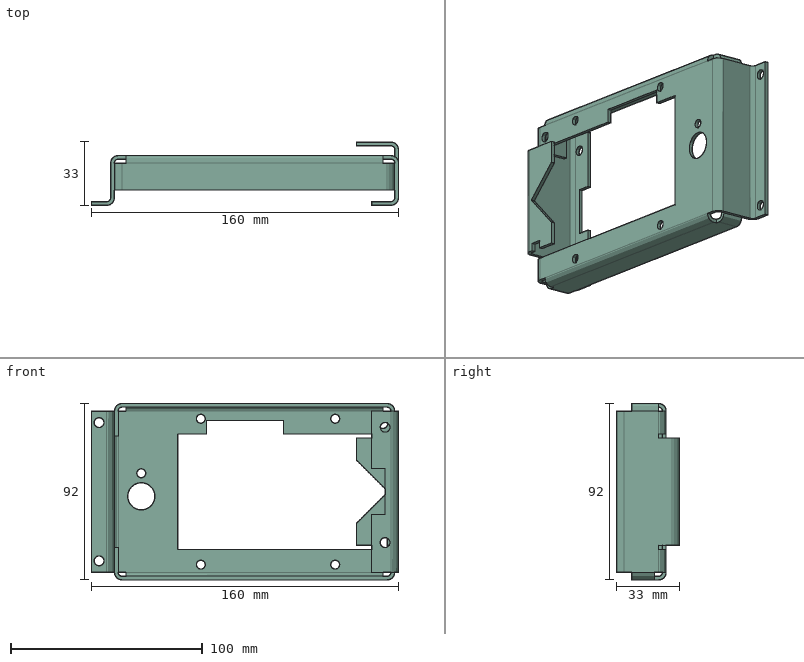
import cadquery as cq
import math

SHEET = 2.0
BEND_IN = 2.0
BEND = BEND_IN + SHEET

LENGTH = 160.0
DEPTH = 33.0
WALL_HALF = 42.0
FRAME_HALF = WALL_HALF + BEND

LEFT_WALL = 10.0
PLATE_BACK = 26.0
PLATE_FRONT = PLATE_BACK - SHEET
BEND_Y = PLATE_BACK - BEND
FRAME_LEFT = LEFT_WALL + SHEET
FRAME_RIGHT = LENGTH - SHEET
FLANGE_FRONT = 8.0
RELIEF = 8.0
RELIEF_LEFT = LEFT_WALL + RELIEF
RELIEF_RIGHT = LENGTH - RELIEF
BOTTOM_RELIEF_EXTRA = 2.0
BOTTOM_RELIEF_Y = BEND_Y - BOTTOM_RELIEF_EXTRA
TAB_LENGTH = 17.0

WINDOW_LEFT = 45.0
WINDOW_HALF = 30.0
WINDOW_STEP = (60.0, 100.0)
WINDOW_STEP_TOP = 37.0
PLATE_HOLE_D = 4.5
PLATE_HOLE_X = (57.0, 127.0)
PLATE_HOLE_Z = 38.0
CABLE_X = 26.0
CABLE_D = 14.0
CABLE_Z = -2.4
PILOT_Z = 9.6
ACCESS_D = 5.0
ACCESS_X = 151.8
ACCESS_Z = 35.5

MOUNT_D = 5.0
LEFT_MOUNT_X = 4.0
LEFT_MOUNT_Z = 36.0
RIGHT_FLANGE_TIP = 146.0
RIGHT_MOUNT_X = 153.0
RIGHT_MOUNT_Z = (33.5, -26.5)
FLANGE_NOTCH_X = 153.0
FLANGE_NOTCH_HALF = 12.0

REAR_TIP = 138.0
REAR_HALF = 28.0
VEE_HALF = 16.5
REAR_NOTCH = (148.0, 154.0)
REAR_NOTCH_TOP = -24.0


def sheet(x, y, z):
    """Flat box from (low, high) spans along each axis."""
    return cq.Workplane("XY").box(
        x[1] - x[0], y[1] - y[0], z[1] - z[0], centered=False
    ).translate((x[0], y[0], z[0]))


def bend(plane, center, side, span):
    """Quarter ring in a plane, in the quadrant given by side, extruded over span."""
    (u, v), (su, sv) = center, side
    start = -span[1] if plane == "XZ" else span[0]
    inner = BEND_IN * math.sqrt(0.5)
    outer = BEND * math.sqrt(0.5)
    return (
        cq.Workplane(plane).workplane(offset=start)
        .moveTo(u + su * BEND_IN, v)
        .lineTo(u + su * BEND, v)
        .threePointArc((u + su * outer, v + sv * outer), (u, v + sv * BEND))
        .lineTo(u, v + sv * BEND_IN)
        .threePointArc((u + su * inner, v + sv * inner), (u + su * BEND_IN, v))
        .close().extrude(span[1] - span[0])
    )


def hole(diameter, x, z, y):
    """Round cutter along Y over the span y."""
    return (
        cq.Workplane("XZ").workplane(offset=-y[1])
        .center(x, z).circle(diameter / 2).extrude(y[1] - y[0])
    )


FULL_Z = (-WALL_HALF, WALL_HALF)
PLATE_Y = (PLATE_FRONT, PLATE_BACK)
FRONT_Y = (0, SHEET)


def main_plate():
    """Rear plate with its window, holes and the bends into both side walls."""
    flat_x = (LEFT_WALL + BEND, LENGTH - BEND)
    plate = sheet(flat_x, PLATE_Y, FULL_Z)
    plate = plate.union(bend("XY", (flat_x[0], BEND_Y), (-1, 1), FULL_Z))
    plate = plate.union(bend("XY", (flat_x[1], BEND_Y), (1, 1), FULL_Z))
    bend_zone_y = (BEND_Y, PLATE_BACK)
    plate = plate.cut(sheet((WINDOW_LEFT, LENGTH), bend_zone_y, (-WINDOW_HALF, WINDOW_HALF)))
    plate = plate.cut(sheet(WINDOW_STEP, PLATE_Y, (0, WINDOW_STEP_TOP)))
    for x in PLATE_HOLE_X:
        for z in (-PLATE_HOLE_Z, PLATE_HOLE_Z):
            plate = plate.cut(hole(PLATE_HOLE_D, x, z, PLATE_Y))
    plate = plate.cut(hole(PLATE_HOLE_D, CABLE_X, PILOT_Z, PLATE_Y))
    plate = plate.cut(hole(CABLE_D, CABLE_X, CABLE_Z, PLATE_Y))
    return plate.cut(hole(ACCESS_D, ACCESS_X, ACCESS_Z, PLATE_Y))


def left_wall():
    """Left wall with its outward mounting flange."""
    flange_end = LEFT_WALL + SHEET - BEND
    wall = sheet((LEFT_WALL, LEFT_WALL + SHEET), (BEND, BEND_Y), FULL_Z)
    wall = wall.union(bend("XY", (flange_end, BEND), (1, -1), FULL_Z))
    wall = wall.union(sheet((0, flange_end), FRONT_Y, FULL_Z))
    for z in (-LEFT_MOUNT_Z, LEFT_MOUNT_Z):
        wall = wall.cut(hole(MOUNT_D, LEFT_MOUNT_X, z, FRONT_Y))
    return wall


def right_wall():
    """Right wall with its inward, notched mounting flange."""
    flange_end = LENGTH - BEND
    wall = sheet((LENGTH - SHEET, LENGTH), (BEND, BEND_Y), FULL_Z)
    wall = wall.union(bend("XY", (flange_end, BEND), (1, -1), FULL_Z))
    flange = sheet((RIGHT_FLANGE_TIP, flange_end), FRONT_Y, FULL_Z)
    notch_z = (-FLANGE_NOTCH_HALF, FLANGE_NOTCH_HALF)
    flange = flange.cut(sheet((RIGHT_FLANGE_TIP, FLANGE_NOTCH_X), FRONT_Y, notch_z))
    for z in RIGHT_MOUNT_Z:
        flange = flange.cut(hole(MOUNT_D, RIGHT_MOUNT_X, z, FRONT_Y))
    return wall.union(flange)


def rear_tab():
    """Extension of the right wall, bent inward behind the plate, with a V cut."""
    tab_z = (-REAR_HALF, REAR_HALF)
    tab_y = (DEPTH - SHEET, DEPTH)
    bend_x = LENGTH - BEND
    flat = sheet((REAR_TIP, bend_x), tab_y, tab_z)
    vee = (
        cq.Workplane("XZ").workplane(offset=-DEPTH)
        .moveTo(REAR_TIP, -VEE_HALF)
        .lineTo(REAR_TIP + VEE_HALF, 0)
        .lineTo(REAR_TIP, VEE_HALF)
        .close().extrude(SHEET)
    )
    flat = flat.cut(vee).cut(sheet(REAR_NOTCH, tab_y, (-REAR_HALF, REAR_NOTCH_TOP)))
    web = sheet((LENGTH - SHEET, LENGTH), (BEND_Y, DEPTH - BEND), tab_z)
    return flat.union(web).union(bend("XY", (bend_x, DEPTH - BEND), (1, 1), tab_z))


def frame_flange(side, tab_back):
    """Top (side 1) or bottom (side -1) flange with a tab folded against each wall."""
    def span_z(inner, outer):
        return tuple(sorted((side * inner, side * outer)))

    flat_z = span_z(FRAME_HALF - SHEET, FRAME_HALF)
    tab_z = span_z(FRAME_HALF - TAB_LENGTH, WALL_HALF)
    tab_y = (FLANGE_FRONT, tab_back)
    relief_x = (RELIEF_LEFT, RELIEF_RIGHT)
    flat_x = (FRAME_LEFT + BEND, FRAME_RIGHT - BEND)
    flange = sheet(relief_x, (FLANGE_FRONT, BEND_Y), flat_z)
    flange = flange.union(sheet(flat_x, tab_y, flat_z))
    flange = flange.union(bend("YZ", (BEND_Y, side * WALL_HALF), (1, side), relief_x))
    for x, direction in ((flat_x[0], -1), (flat_x[1], 1)):
        flange = flange.union(bend("XZ", (x, side * WALL_HALF), (direction, side), tab_y))
        tab_x = sorted((x + direction * BEND_IN, x + direction * BEND))
        flange = flange.union(sheet(tab_x, tab_y, tab_z))
    return flange


result = (
    main_plate()
    .union(left_wall())
    .union(right_wall())
    .union(rear_tab())
    .union(frame_flange(1, BEND_Y))
    .union(frame_flange(-1, BOTTOM_RELIEF_Y))
)